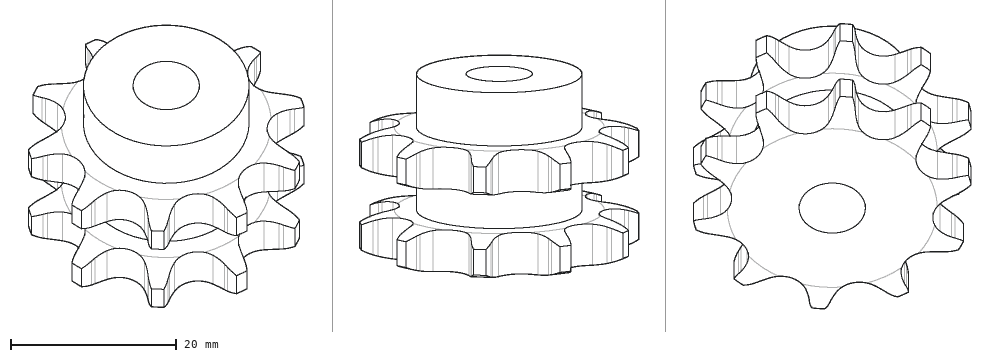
import cadquery as cq
import math


hub_diameter = 20.0
hub_height = 22.0
bore_diameter = 8.0

tooth_count = 10
tip_radius = 17.0
disc_thickness = 5.17
disc_spacing = 10.25
flank_crown_radius = 10.0
flank_crown_depth = 1.0

chain_pitch = 9.52
roller_diameter = 6.35
roller_clearance = 0.037

half_pitch_angle = 180 / tooth_count
pitch_radius = chain_pitch / (2 * math.sin(math.radians(half_pitch_angle)))
seating_angle = 35 + 60 / tooth_count
working_sweep = 18 - 56 / tooth_count
straight_angle = seating_angle - working_sweep
topping_angle = 17 - 64 / tooth_count
topping_end_angle = 50
cutter_overrun = 1.7

working_centre_distance = 0.8 * roller_diameter
topping_centre_distance = 1.4 * roller_diameter
seating_radius = (roller_diameter + roller_clearance) / 2
working_radius = seating_radius + working_centre_distance
straight_length = (
    topping_centre_distance * math.sin(math.radians(topping_angle))
    - working_centre_distance * math.sin(math.radians(working_sweep))
)
topping_radius = (
    working_centre_distance * math.cos(math.radians(working_sweep))
    + topping_centre_distance * math.cos(math.radians(topping_angle))
    - working_radius
)


def polar(centre, radius, angle):
    """Point at the given radius and angle from a centre."""
    turn = math.radians(angle)
    return (centre[0] + radius * math.cos(turn), centre[1] + radius * math.sin(turn))


def mirrored(point):
    """Matching point on the other flank of a tooth gap."""
    return (-point[0], point[1])


def tooth_gap():
    """Cutter for one tooth gap, opening toward +Y."""
    roller_centre = (0, pitch_radius)
    working_centre = polar(roller_centre, working_centre_distance, seating_angle)
    topping_centre = polar(roller_centre, topping_centre_distance, 180 + half_pitch_angle)

    seat_bottom = (0, pitch_radius - seating_radius)
    seat_end = polar(roller_centre, seating_radius, 180 + seating_angle)
    working_middle = polar(working_centre, working_radius, 180 + seating_angle - working_sweep / 2)
    working_end = polar(working_centre, working_radius, 180 + straight_angle)
    straight_end = polar(working_end, straight_length, 90 + straight_angle)
    topping_middle = polar(topping_centre, topping_radius, (straight_angle + topping_end_angle) / 2)
    topping_end = polar(topping_centre, topping_radius, topping_end_angle)
    outer_corner = (topping_end[0], tip_radius + cutter_overrun)

    return (
        cq.Workplane("XY")
        .moveTo(*outer_corner)
        .lineTo(*topping_end)
        .threePointArc(topping_middle, straight_end)
        .lineTo(*working_end)
        .threePointArc(working_middle, seat_end)
        .threePointArc(seat_bottom, mirrored(seat_end))
        .threePointArc(mirrored(working_middle), mirrored(working_end))
        .lineTo(*mirrored(straight_end))
        .threePointArc(mirrored(topping_middle), mirrored(topping_end))
        .lineTo(*mirrored(outer_corner))
        .close()
        .extrude(disc_thickness)
    )


def disc_blank():
    """Disc whose rim is crowned by arcs tangent to both flat faces."""
    crown_width = math.sqrt(flank_crown_radius**2 - (flank_crown_radius - flank_crown_depth)**2)
    flat_radius = tip_radius - crown_width
    middle_angle = math.asin(crown_width / flank_crown_radius) / 2
    middle_radius = flat_radius + flank_crown_radius * math.sin(middle_angle)
    middle_depth = flank_crown_radius * (1 - math.cos(middle_angle))
    return (
        cq.Workplane("XZ")
        .moveTo(0, 0)
        .lineTo(flat_radius, 0)
        .threePointArc((middle_radius, middle_depth), (tip_radius, flank_crown_depth))
        .lineTo(tip_radius, disc_thickness - flank_crown_depth)
        .threePointArc((middle_radius, disc_thickness - middle_depth), (flat_radius, disc_thickness))
        .lineTo(0, disc_thickness)
        .close()
        .revolve(360, (0, 0, 0), (0, 1, 0))
    )


def toothed_disc():
    """Disc with its lower face on Z = 0 and one tooth centred on +X."""
    disc = disc_blank()
    gap = tooth_gap()
    first_gap_angle = half_pitch_angle - 90
    for index in range(tooth_count):
        angle = first_gap_angle + index * 2 * half_pitch_angle
        disc = disc.cut(gap.rotate((0, 0, 0), (0, 0, 1), angle))
    return disc


disc = toothed_disc()
sprocket = cq.Workplane("XY").circle(hub_diameter / 2).extrude(hub_height)
for base_height in (0, disc_spacing):
    sprocket = sprocket.union(disc.translate((0, 0, base_height)))

bore = cq.Workplane("XY").circle(bore_diameter / 2).extrude(hub_height)
result = sprocket.cut(bore)